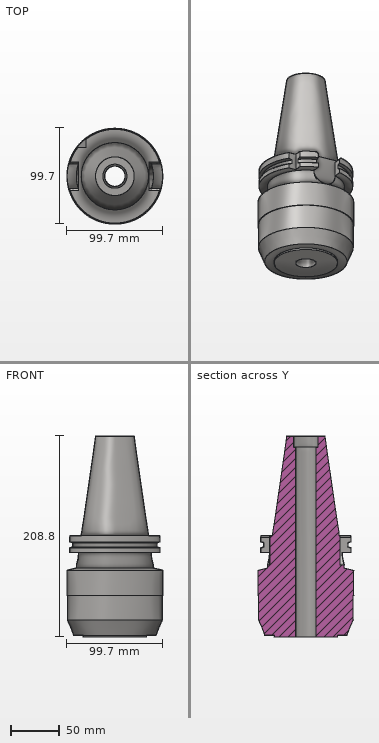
import cadquery as cq


gauge_diameter = 69.85
taper_length = 101.75
taper_ratio = 7 / 24
taper_tip_diameter = gauge_diameter - taper_ratio * taper_length

flange_diameter = 97.5
flange_top = -1.5
flange_bottom = -19.1
groove_center = -11.1
groove_floor_diameter = 91.2
groove_floor_width = 4.0
groove_mouth_width = 6.3

neck_diameter = 80.0
shoulder_top = -35.0
shoulder_bottom = -37.5
body_diameter = 99.7
body_bottom = -63.8
nut_diameter = 98.5
nut_bottom = -89.3
nose_diameter = 85.5
nose_bottom = -105.2
end_ring_diameter = 66.0
end_ring_bottom = -107.0

through_hole_diameter = 21.0
counterbore_diameter = 25.0
counterbore_depth = 11.5

slot_width = 25.7
slot_floor_left = 37.7
slot_floor_right = 35.5
slot_round_center = flange_bottom
slot_mouth_chamfer = 2.0

notch_x = -30.0
notch_y = 30.0

clearance = 5.0
cut_reach = body_diameter / 2 + clearance


def make_revolved_body():
    """Full outside shape, turned about Z."""
    groove_top = groove_center + groove_mouth_width / 2
    groove_bottom = groove_center - groove_mouth_width / 2
    floor_top = groove_center + groove_floor_width / 2
    floor_bottom = groove_center - groove_floor_width / 2
    diameters_and_heights = [
        (0, taper_length),
        (taper_tip_diameter, taper_length),
        (gauge_diameter, 0),
        (gauge_diameter, flange_top),
        (flange_diameter, flange_top),
        (flange_diameter, groove_top),
        (groove_floor_diameter, floor_top),
        (groove_floor_diameter, floor_bottom),
        (flange_diameter, groove_bottom),
        (flange_diameter, flange_bottom),
        (neck_diameter, flange_bottom),
        (neck_diameter, shoulder_top),
        (body_diameter, shoulder_bottom),
        (body_diameter, body_bottom),
        (nut_diameter, body_bottom),
        (nut_diameter, nut_bottom),
        (nose_diameter, nose_bottom),
        (end_ring_diameter, nose_bottom),
        (end_ring_diameter, end_ring_bottom),
        (0, end_ring_bottom),
    ]
    profile = [(diameter / 2, height) for diameter, height in diameters_and_heights]
    return cq.Workplane("YZ").polyline(profile).close().revolve(360, (0, 0, 0), (0, 1, 0))


def make_bore():
    """Through hole with a counterbore at the small end of the taper."""
    total_length = taper_length - end_ring_bottom
    top = cq.Workplane("XY").workplane(offset=taper_length)
    through_hole = top.circle(through_hole_diameter / 2).extrude(-total_length)
    counterbore = top.circle(counterbore_diameter / 2).extrude(-counterbore_depth)
    return through_hole.union(counterbore)


def make_drive_slot(side, floor_distance):
    """Slot with a round lower end and a chamfered mouth; side is -1 for -X, +1 for +X."""
    half_width = slot_width / 2
    mouth_half_width = half_width + slot_mouth_chamfer
    straight_top = flange_top - slot_mouth_chamfer
    return (
        cq.Workplane("YZ")
        .workplane(offset=side * floor_distance)
        .moveTo(-mouth_half_width, flange_top)
        .lineTo(-half_width, straight_top)
        .lineTo(-half_width, slot_round_center)
        .threePointArc((0, slot_round_center - half_width), (half_width, slot_round_center))
        .lineTo(half_width, straight_top)
        .lineTo(mouth_half_width, flange_top)
        .close()
        .extrude(side * (cut_reach - floor_distance))
    )


def make_orientation_notch():
    """Square-cornered cut through the full height of the flange."""
    return (
        cq.Workplane("XY")
        .workplane(offset=flange_bottom)
        .moveTo(notch_x, notch_y)
        .rect(-cut_reach, cut_reach, centered=False)
        .extrude(flange_top - flange_bottom)
    )


result = (
    make_revolved_body()
    .cut(make_bore())
    .cut(make_drive_slot(-1, slot_floor_left))
    .cut(make_drive_slot(1, slot_floor_right))
    .cut(make_orientation_notch())
)